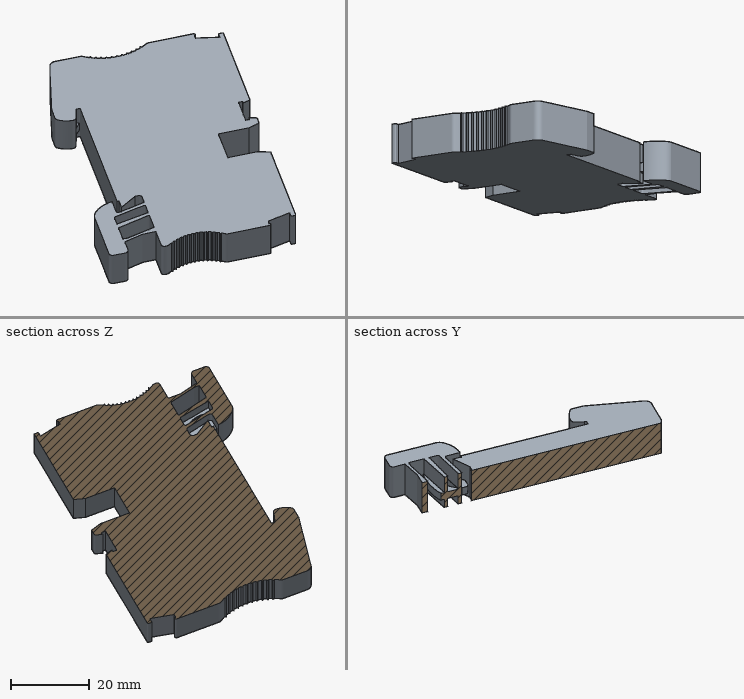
import cadquery as cq
import math

length = 71.6
height = 49.6
thickness = 10.2
right = length / 2
left = -right
top = height / 2
bottom = -top

rail_level = -17.7
spring_level = -11.15
foot_inner_level = -19.95
foot_outer_level = -19.75
catch_level = -18.95

seat_top = 23.5
seat_bottom = 17.45
seat_shoulder = 17.8
lip_tip_x = 34.1
seat_root_x = 32.8
seat_foot_x = 34.2
shoulder_inner_x = 35.05
shoulder_outer_x = 35.2
shoulder_radius = 0.5
lip_radius = 0.3

groove_left = -8.95
groove_right = -2.3
groove_floor = 21.75
groove_hook_y = 22.8
groove_left_hook_x = -8.4
groove_right_hook_x = -2.95
groove_round = 0.5
jumper_left = 0.6
jumper_right = 9.45
jumper_floor = 13.7
jumper_flare_y = 21.85
jumper_flare_width = 1.0
jumper_round = 0.25

heel_y = -20.7
heel_radius = 1.8
sole_start_x = -19.2
sole_end_x = -16.3
tip_start = (-15.4, -24.35)
tip_outermost = (-14.15, -20.75)
tip_end = (-14.85, -19.6)
mouth_left = -17.8
mouth_root_x = -17.3
mouth_floor = -18.8
mouth_edge_x = -16.1
mouth_edge_y = -19.25
hook_mouth_radius = 0.3

foot_right = 35.35
foot_radius = 1.0
toe_x = 16.7
toe_flat_x = 20.75
catch_step_x = 16.95
catch_lip_level = -17.2
catch_lip_x = 19.3
catch_root_x = 16.4
catch_root_y = -12.8
catch_web_gap = 0.25
catch_tip_gap = 0.1
toe_joint = (18.95, -23.8)
outer_leg_top_x = 30.05
outer_leg_bend_y = -14.6
outer_leg_bottom_x = 31.45
body_corner_radius = 0.8

web_bottom = 2.7
web_top = thickness / 2

left_grip = (-1, -3.55, 17.4, 2.6, 11, 5.0)
right_grip = (1, -1.8, 15.5, 2.55, 13, 4.9)
ridge_height = 0.35
ridge_base = 0.6
ridge_root = 0.3
grip_edge_radius = 1.4


def corner(x, y, radius=0.0, via=None):
    """A profile corner: rounded by radius, or reached by an arc through the point via."""
    return (x, y, radius, via)


def round_points(before, here, after):
    """Start, middle and end of the arc that rounds the corner at here."""
    x, y, radius, _ = here
    angle_in = math.atan2(before[1] - y, before[0] - x)
    angle_out = math.atan2(after[1] - y, after[0] - x)
    half_turn = math.remainder(angle_out - angle_in, 2 * math.pi) / 2
    half = abs(half_turn)
    bisector = angle_in + half_turn
    setback = radius / math.tan(half)
    depth = radius / math.sin(half) - radius
    start = (x + setback * math.cos(angle_in), y + setback * math.sin(angle_in))
    middle = (x + depth * math.cos(bisector), y + depth * math.sin(bisector))
    end = (x + setback * math.cos(angle_out), y + setback * math.sin(angle_out))
    return start, middle, end


def plate(corners, z_low=0.0, z_high=thickness):
    """Extrude a closed profile of corners between two Z levels; it starts at a sharp corner."""
    path = cq.Workplane("XY", origin=(0, 0, z_low)).moveTo(corners[0][0], corners[0][1])
    for i in range(1, len(corners)):
        here = corners[i]
        x, y, radius, via = here
        if via:
            path = path.threePointArc(via, (x, y))
        elif radius:
            start, middle, end = round_points(corners[i - 1], here, corners[(i + 1) % len(corners)])
            path = path.lineTo(*start).threePointArc(middle, end)
        else:
            path = path.lineTo(x, y)
    return path.close().extrude(z_high - z_low)


def label_seat(side):
    """Corners of the undercut label seat, from the top edge down to the side face."""
    return [
        corner(side * lip_tip_x, top, lip_radius),
        corner(side * lip_tip_x, seat_top, lip_radius),
        corner(side * seat_root_x, seat_top),
        corner(side * seat_foot_x, seat_bottom),
        corner(side * shoulder_inner_x, seat_bottom),
        corner(side * shoulder_outer_x, seat_shoulder),
        corner(side * right, seat_shoulder, shoulder_radius),
    ]


def rail_hook():
    """Corners of the fixed hook, from the left face round to the rail underside."""
    return [
        corner(left, heel_y, heel_radius),
        corner(sole_start_x, bottom),
        corner(sole_end_x, bottom),
        corner(*tip_start, via=(-15.8, -24.7)),
        corner(*tip_outermost, via=(-14.6, -22.85)),
        corner(*tip_end, via=(-14.3, -20.05)),
        corner(mouth_edge_x, mouth_edge_y),
        corner(mouth_root_x, mouth_floor),
        corner(mouth_left, mouth_floor, hook_mouth_radius),
        corner(mouth_left, rail_level, hook_mouth_radius),
    ]


def spring_foot():
    """Corners of the movable foot, from the rail underside round to the right face."""
    return [
        corner(catch_step_x, rail_level),
        corner(catch_step_x, catch_level),
        corner(toe_x, catch_level),
        corner(*toe_joint, via=(17.45, -21.75)),
        corner(toe_flat_x, bottom, via=(19.75, -24.45)),
        corner(foot_right, bottom, foot_radius),
        corner(foot_right, foot_outer_level, foot_radius),
        corner(outer_leg_bottom_x, foot_outer_level),
        corner(outer_leg_top_x, outer_leg_bend_y),
        corner(outer_leg_top_x, spring_level),
        corner(right, spring_level, body_corner_radius),
    ]


def top_edge():
    """Corners of the jumper slot and the marker groove, from right to left."""
    return [
        corner(jumper_right + jumper_flare_width, top),
        corner(jumper_right, jumper_flare_y),
        corner(jumper_right, jumper_floor),
        corner(jumper_left, jumper_floor),
        corner(jumper_left, jumper_flare_y),
        corner(jumper_left - jumper_flare_width, top, jumper_round),
        corner(groove_right, top, groove_round),
        corner(groove_right_hook_x, groove_hook_y),
        corner(groove_right, groove_hook_y),
        corner(groove_right, groove_floor),
        corner(groove_left, groove_floor),
        corner(groove_left, groove_hook_y),
        corner(groove_left_hook_x, groove_hook_y),
        corner(groove_left, top, groove_round),
    ]


def housing():
    """The full outline, with the spring slots still solid."""
    right_seat = label_seat(1)
    right_seat.reverse()
    return plate(top_edge() + label_seat(-1) + rail_hook() + spring_foot() + right_seat)


def grip_cutter(side, centre_y, chord, depth, ridge_count, pitch):
    """A cylinder that hollows a side face, notched so that it leaves ridges standing."""
    radius = (chord ** 2 / 4 + depth ** 2) / (2 * depth)
    centre_x = side * (right - depth + radius)
    cutter = cq.Workplane("XY").center(centre_x, centre_y).circle(radius).extrude(thickness)
    inward = 180 if side > 0 else 0
    for i in range(ridge_count):
        angle = inward + (i - (ridge_count - 1) / 2) * pitch
        ridge = (
            cq.Workplane("XY")
            .polyline([
                (radius - ridge_height, 0),
                (radius, ridge_base / 2),
                (radius + ridge_root, ridge_base / 2),
                (radius + ridge_root, -ridge_base / 2),
                (radius, -ridge_base / 2),
            ])
            .close()
            .extrude(thickness)
            .rotate((0, 0, 0), (0, 0, 1), angle)
            .translate((centre_x, centre_y, 0))
        )
        cutter = cutter.cut(ridge)
    return cutter


def cut_grip(body, grip):
    """Hollow one finger grip and round the two edges where it meets the side face."""
    side, centre_y, chord = grip[:3]
    body = body.cut(grip_cutter(*grip))
    for end in (-1, 1):
        edge_point = (side * right, centre_y + end * chord / 2, thickness / 2)
        body = body.edges(cq.selectors.NearestToPointSelector(edge_point)).fillet(grip_edge_radius)
    return body


catch_slot = [
    corner(catch_step_x, catch_level),
    corner(20.9, catch_level, 0.5),
    corner(20.7, -17.6),
    corner(19.1, spring_level, 0.5),
    corner(catch_root_x, spring_level, 0.8),
    corner(catch_root_x, catch_root_y),
    corner(catch_lip_x, catch_lip_level),
    corner(catch_step_x, catch_lip_level),
]
catch_opening = [
    corner(catch_step_x, catch_level),
    corner(17.5, catch_level),
    corner(17.5, catch_lip_level - catch_web_gap),
    corner(catch_lip_x + catch_tip_gap, catch_lip_level - catch_web_gap),
    corner(18.1, -15.05),
    corner(18.35, -14.4),
    corner(17.55, -14.3),
    corner(17.25, -13.6),
    corner(17.25, spring_level - catch_web_gap, 0.8),
    corner(19.15, spring_level - catch_web_gap),
    corner(19.15, spring_level),
    corner(catch_root_x, spring_level),
    corner(catch_root_x, catch_root_y),
    corner(catch_lip_x, catch_lip_level),
    corner(catch_step_x, catch_lip_level),
]
middle_slot = [
    corner(24.75, foot_inner_level),
    corner(22.95, spring_level, 0.5),
    corner(20.1, spring_level, 0.4),
    corner(22.2, foot_inner_level, 0.4),
]
middle_opening = [
    corner(20.3, -11.9),
    corner(22.6, foot_inner_level, via=(23.1, -15.4)),
    corner(22.2, foot_inner_level),
]
outer_slot = [
    corner(30.3, foot_inner_level),
    corner(30.3, -18.6),
    corner(28.45, spring_level, 0.5),
    corner(23.9, spring_level, 0.3),
    corner(26.2, foot_inner_level),
]
outer_opening = [
    corner(30.3, foot_inner_level),
    corner(30.3, spring_level),
    corner(24.8, spring_level),
    corner(26.5, -17.6, via=(26.15, -14.6)),
    corner(26.5, foot_inner_level),
]


def cut_spring_slot(body, slot, opening):
    """Cut a slot between the spring legs, leaving a thin pierced web inside it."""
    web = plate(slot, web_bottom, web_top).cut(plate(opening))
    return body.cut(plate(slot)).union(web)


def fill_hook_mouth(body):
    """Add the thin web that narrows the inner end of the hook mouth."""
    web = plate(
        [
            corner(mouth_left, -18.1),
            corner(-17.5, -18.0),
            corner(mouth_edge_x, mouth_edge_y),
            corner(mouth_root_x, mouth_floor),
            corner(mouth_left, mouth_floor),
        ],
        web_bottom,
        web_top,
    )
    return body.union(web)


result = housing()
for grip in (left_grip, right_grip):
    result = cut_grip(result, grip)
for slot, opening in (
    (catch_slot, catch_opening),
    (middle_slot, middle_opening),
    (outer_slot, outer_opening),
):
    result = cut_spring_slot(result, slot, opening)
result = fill_hook_mouth(result)